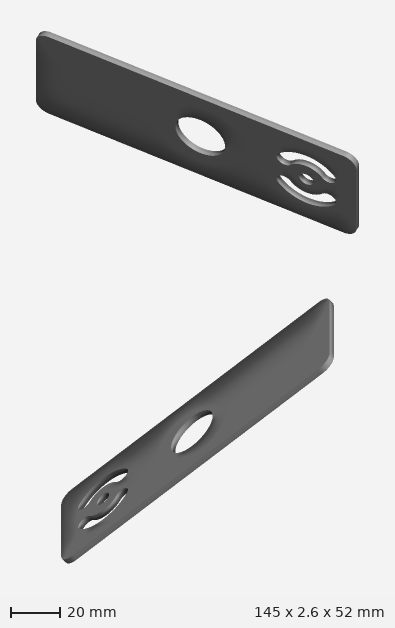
import cadquery as cq
import math

PLATE_LENGTH = 145.0
PLATE_THICKNESS = 2.6
PLATE_HEIGHT = 52.0
CORNER_RADIUS = 6.0

OPENING_DIAMETER = 22.5
OPENING_X = 1.9

PIVOT_DIAMETER = 6.5
PIVOT_X = 49.9
SLOT_MID_RADIUS = 12.5
SLOT_WIDTH = 7.0
SLOT_HALF_SWEEP = 53.0


def back_face_at(x):
    """Workplane on the plate's +Y face, extruding toward -Y through the plate."""
    return cq.Workplane("XZ", origin=(x, PLATE_THICKNESS / 2, 0))


def through_hole(diameter, x):
    """Round cutter through the plate thickness, on its horizontal centreline."""
    return back_face_at(x).circle(diameter / 2).extrude(PLATE_THICKNESS)


def curved_slot(middle_angle):
    """Round-ended arc slot cutter, concentric with the pivot hole."""
    start = middle_angle - SLOT_HALF_SWEEP
    end = middle_angle + SLOT_HALF_SWEEP
    inner_radius = SLOT_MID_RADIUS - SLOT_WIDTH / 2
    outer_radius = SLOT_MID_RADIUS + SLOT_WIDTH / 2
    cap_angle = math.degrees(math.atan2(SLOT_WIDTH / 2, SLOT_MID_RADIUS))
    cap_tip_radius = math.hypot(SLOT_MID_RADIUS, SLOT_WIDTH / 2)

    def polar(radius, angle):
        turn = math.radians(angle)
        return (radius * math.cos(turn), radius * math.sin(turn))

    return (
        back_face_at(PIVOT_X)
        .moveTo(*polar(outer_radius, start))
        .threePointArc(polar(outer_radius, middle_angle), polar(outer_radius, end))
        .threePointArc(polar(cap_tip_radius, end + cap_angle), polar(inner_radius, end))
        .threePointArc(polar(inner_radius, middle_angle), polar(inner_radius, start))
        .threePointArc(polar(cap_tip_radius, start - cap_angle), polar(outer_radius, start))
        .close()
        .extrude(PLATE_THICKNESS)
    )


plate = (
    cq.Workplane("XY")
    .box(PLATE_LENGTH, PLATE_THICKNESS, PLATE_HEIGHT)
    .edges("|Y")
    .fillet(CORNER_RADIUS)
)

plate = plate.cut(through_hole(OPENING_DIAMETER, OPENING_X))
plate = plate.cut(through_hole(PIVOT_DIAMETER, PIVOT_X))
for slot_angle in (90, 270):
    plate = plate.cut(curved_slot(slot_angle))

result = plate